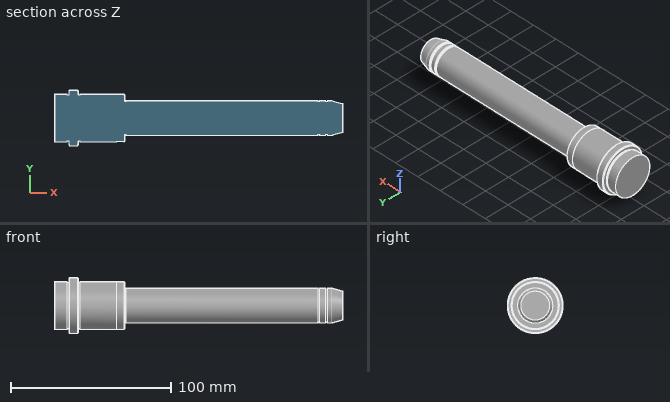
import cadquery as cq

LENGTH = 180.0
HEAD_DIAMETER = 30.0
COLLAR_DIAMETER = 35.0
SHAFT_DIAMETER = 22.0

HEAD_LENGTH = 44.0
LEAD_LENGTH = 5.4
LEAD_DIAMETER = 29.9
LEAD_CHAMFER = 0.5

COLLAR_START = 8.8
COLLAR_WIDTH = 6.0
COLLAR_CHAMFER = 0.5
COLLAR_RELIEF_WIDTH = 1.0

GROOVE_WIDTH = 1.0
GROOVE_DEPTH = 0.5
GROOVE_SETBACKS = (15.7, 10.8)
NECK_WIDTH = 0.5

TIP_LENGTH = 7.0
TIP_DIAMETER = 18.0

HEAD_END = -LENGTH / 2
TIP_END = LENGTH / 2


def rod(start, length, diameter):
    """Solid cylinder along X, starting at the given X position."""
    return cq.Workplane("YZ", origin=(start, 0, 0)).circle(diameter / 2).extrude(length)


def cut_ring(body, start, width, diameter):
    """Cut an annular groove of GROOVE_DEPTH into a cylinder of this diameter."""
    outer = rod(start, width, diameter)
    core = rod(start, width, diameter - 2 * GROOVE_DEPTH)
    return body.cut(outer.cut(core))


def make_head():
    fitted_length = HEAD_LENGTH - LEAD_LENGTH
    fitted = rod(HEAD_END, fitted_length, HEAD_DIAMETER)
    lead = rod(HEAD_END + fitted_length, LEAD_LENGTH, LEAD_DIAMETER).faces(">X").chamfer(LEAD_CHAMFER)
    collar_start = HEAD_END + COLLAR_START
    for start in (collar_start - COLLAR_RELIEF_WIDTH, collar_start + COLLAR_WIDTH):
        fitted = cut_ring(fitted, start, COLLAR_RELIEF_WIDTH, HEAD_DIAMETER)
    collar = rod(collar_start, COLLAR_WIDTH, COLLAR_DIAMETER).faces("<X or >X").chamfer(COLLAR_CHAMFER)
    return fitted.union(lead).union(collar)


def make_shaft():
    start = HEAD_END + HEAD_LENGTH
    tip_start = TIP_END - TIP_LENGTH
    axis = cq.Vector(1, 0, 0)
    tip = cq.Solid.makeCone(
        SHAFT_DIAMETER / 2, TIP_DIAMETER / 2, TIP_LENGTH, cq.Vector(tip_start, 0, 0), axis
    )
    shaft = rod(start, tip_start - start, SHAFT_DIAMETER).union(cq.Workplane(tip))
    shaft = cut_ring(shaft, start, NECK_WIDTH, SHAFT_DIAMETER)
    for setback in GROOVE_SETBACKS:
        shaft = cut_ring(shaft, TIP_END - setback, GROOVE_WIDTH, SHAFT_DIAMETER)
    return shaft


result = make_head().union(make_shaft())